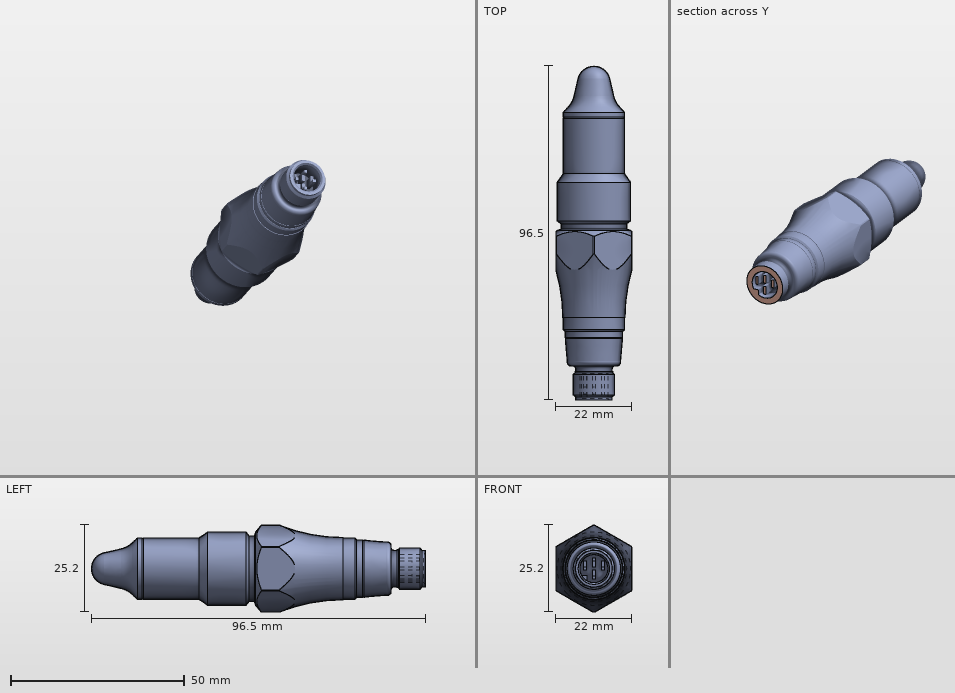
import cadquery as cq
import math

LENGTH = 96.45

TIP_R = 4.7
TIP_HALF_ANGLE = math.radians(13)
TIP_CONE_END_Y = 87.8
FLARE_R = 7.4
FLARE_Y = 84.7
BARREL_R = 8.9
BARREL_TOP_Y = 83.1
BARREL_END_Y = 65.4
COLLAR_R = 10.6
COLLAR_TOP_Y = 62.9
COLLAR_END_Y = 51.8
RELIEF_R = 19.0 / 2
RELIEF_TOP_Y = 50.9
RELIEF_END_Y = 49.4

HEX_FLATS = 22.0
HEX_CORNER_R = HEX_FLATS / math.sqrt(3)
HEX_TOP_Y = 49.0
HEX_TOP_R = 10.6
HEX_CHAMFER_Y = 47.4
HEX_SHOULDER_Y = 42.15
GRIP_R = 25.2 / 2
WAIST_R = 18.0 / 2
WAIST_Y = 23.8
BAND_R = 8.9
BAND_END_Y = 20.35
BAND_CHAMFER = 0.5

SLEEVE_R = 8.3
SLEEVE_TAPER_Y = 17.9
SLEEVE_TIP_R = 7.7
SLEEVE_ROUND_Y = 11.2
SLEEVE_FACE_R = 6.6
SLEEVE_FACE_Y = 9.8

NECK_TOP_R = 6.4
NECK_R = 5.3
NECK_TOP_Y = 9.1
NECK_END_Y = 8.2
NECK_STEP_R = 11.0 / 2
NECK_STEP_Y = 7.8
PLUG_R = 6.0
PLUG_TOP_Y = 7.4
PLUG_END_Y = 1.5
LIP_R = 5.3
LIP_TOP_Y = 1.0

GROOVE_WIDTH = 0.4
GROOVE_DEPTH = 0.1
BARREL_GROOVE_Y = 81.6

SOCKET_R = 4.05
SOCKET_DEPTH = 7.7
MOUTH_R = 4.5
MOUTH_DEPTH = 0.5
KEY_OFFSET = 1.9
KEY_TIP_Y = 1.0
PIN_WIDTH = 0.9
PIN_CIRCLE_R = 2.6
PIN_TIP_Y = 1.7
BLADE_HEIGHT = 2.6
BLADE_TIP_Y = 3.9
BLADE_SHIFT = (BLADE_HEIGHT - PIN_WIDTH) / 2

CONTACTS = [
    (0, PIN_CIRCLE_R, -1),
    (0, -PIN_CIRCLE_R, 1),
    (-PIN_CIRCLE_R, 0, 1),
    (PIN_CIRCLE_R, 0, 1),
]


def ring_groove(radius, y):
    """Ring that cuts a shallow groove centred on y."""
    outer = radius + GROOVE_WIDTH
    ring = cq.Workplane("XZ", origin=(0, y + GROOVE_WIDTH / 2, 0)).circle(outer).circle(radius - GROOVE_DEPTH)
    return ring.extrude(GROOVE_WIDTH)


def turned_body():
    """Solid of revolution for everything except the hexagon flats."""
    tip_centre_y = LENGTH - TIP_R
    mid = math.pi / 4 + TIP_HALF_ANGLE / 2
    dome_end = (TIP_R * math.cos(TIP_HALF_ANGLE), tip_centre_y + TIP_R * math.sin(TIP_HALF_ANGLE))
    dome_middle = (TIP_R * math.cos(mid), tip_centre_y + TIP_R * math.sin(mid))
    cone_length = dome_end[1] - TIP_CONE_END_Y
    cone_end_r = dome_end[0] + cone_length * math.tan(TIP_HALF_ANGLE)
    grip_rise = GRIP_R - WAIST_R
    grip_length = HEX_SHOULDER_Y - WAIST_Y
    grip_arc_radius = (grip_rise**2 + grip_length**2) / (2 * grip_rise)
    profile = (
        cq.Workplane("XY")
        .moveTo(0, 0)
        .lineTo(LIP_R, 0)
        .lineTo(LIP_R, LIP_TOP_Y)
        .lineTo(PLUG_R, PLUG_END_Y)
        .lineTo(PLUG_R, PLUG_TOP_Y)
        .lineTo(NECK_STEP_R, NECK_STEP_Y)
        .lineTo(NECK_STEP_R, NECK_END_Y)
        .lineTo(NECK_R, NECK_END_Y)
        .lineTo(NECK_R, NECK_TOP_Y)
        .tangentArcPoint((NECK_TOP_R, SLEEVE_FACE_Y), relative=False)
        .lineTo(SLEEVE_FACE_R, SLEEVE_FACE_Y)
        .tangentArcPoint((SLEEVE_TIP_R, SLEEVE_ROUND_Y), relative=False)
        .lineTo(SLEEVE_R, SLEEVE_TAPER_Y)
        .lineTo(SLEEVE_R, BAND_END_Y - BAND_CHAMFER)
        .lineTo(BAND_R - BAND_CHAMFER, BAND_END_Y - BAND_CHAMFER)
        .lineTo(BAND_R, BAND_END_Y)
        .lineTo(BAND_R, WAIST_Y)
        .lineTo(WAIST_R, WAIST_Y)
        .radiusArc((GRIP_R, HEX_SHOULDER_Y), grip_arc_radius)
        .lineTo(GRIP_R, HEX_CHAMFER_Y)
        .lineTo(HEX_TOP_R, HEX_TOP_Y)
        .lineTo(RELIEF_R, RELIEF_END_Y)
        .lineTo(RELIEF_R, RELIEF_TOP_Y)
        .lineTo(COLLAR_R, COLLAR_END_Y)
        .lineTo(COLLAR_R, COLLAR_TOP_Y)
        .lineTo(BARREL_R, BARREL_END_Y)
        .lineTo(BARREL_R, BARREL_TOP_Y)
        .lineTo(FLARE_R, FLARE_Y)
        .tangentArcPoint((cone_end_r, TIP_CONE_END_Y), relative=False)
        .lineTo(*dome_end)
        .threePointArc(dome_middle, (0, LENGTH))
        .close()
    )
    return profile.revolve(360, (0, 0, 0), (0, 1, 0))


def hex_envelope():
    """Hexagonal prism with corners at +Z and -Z."""
    prism = cq.Workplane("XZ").polygon(6, 2 * HEX_CORNER_R).extrude(-LENGTH)
    return prism.rotate((0, 0, 0), (0, 1, 0), 30)


def socket():
    """Round socket with a chamfered mouth."""
    profile = (
        cq.Workplane("XY")
        .moveTo(0, 0)
        .lineTo(MOUTH_R, 0)
        .lineTo(SOCKET_R, MOUTH_DEPTH)
        .lineTo(SOCKET_R, SOCKET_DEPTH)
        .lineTo(0, SOCKET_DEPTH)
        .close()
    )
    return profile.revolve(360, (0, 0, 0), (0, 1, 0))


def key():
    """Coding key on the socket wall, in the -X -Z quarter."""
    length = SOCKET_DEPTH - KEY_TIP_Y
    quarter = cq.Workplane("XY").box(PLUG_R, length, PLUG_R, centered=False)
    quarter = quarter.translate((-PLUG_R - KEY_OFFSET, KEY_TIP_Y, -PLUG_R - KEY_OFFSET))
    bore = cq.Workplane("XZ", origin=(0, KEY_TIP_Y, 0)).circle(MOUTH_R).extrude(-length)
    return quarter.intersect(bore)


def bar(x, z, height, tip_y):
    """Rectangular bar from the socket floor to tip_y."""
    start = cq.Workplane("XZ", origin=(x, tip_y, z))
    return start.rect(PIN_WIDTH, height).extrude(tip_y - SOCKET_DEPTH)


def contact(x, z, direction):
    """Square pin rising from a lower, wider blade."""
    pin = bar(x, z, PIN_WIDTH, PIN_TIP_Y)
    blade = bar(x, z + direction * BLADE_SHIFT, BLADE_HEIGHT, BLADE_TIP_Y)
    return pin.union(blade)


result = turned_body().intersect(hex_envelope())
result = result.cut(ring_groove(BARREL_R, BARREL_GROOVE_Y))
result = result.cut(ring_groove(SLEEVE_R, SLEEVE_TAPER_Y))
result = result.cut(socket()).union(key())
for contact_x, contact_z, blade_direction in CONTACTS:
    result = result.union(contact(contact_x, contact_z, blade_direction))